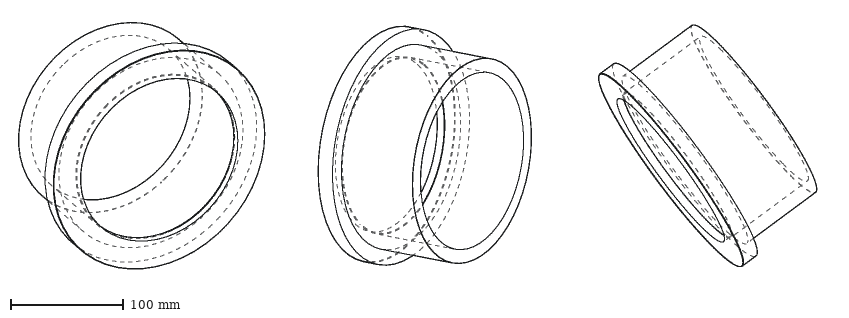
import cadquery as cq

length = 93.0
flange_thickness = 16.0
flange_diameter = 213.0
rim_diameter = 212.0
sleeve_diameter = 185.0
sleeve_chamfer = 0.2
bore_diameter = 160.0
lip_diameter = 158.0
lip_thickness = 7.7

sleeve_end = -length / 2
flange_end = length / 2
flange_start = flange_end - flange_thickness
lip_start = flange_end - lip_thickness
rim_chamfer = (flange_diameter - rim_diameter) / 2


def cylinder(diameter, start, end):
    """Solid cylinder along X between two stations."""
    return cq.Workplane("YZ", origin=(start, 0, 0)).circle(diameter / 2).extrude(end - start)


flange = cylinder(flange_diameter, flange_start, flange_end)
flange = flange.faces(">X").edges().chamfer(rim_chamfer)

sleeve = cylinder(sleeve_diameter, sleeve_end, flange_end)
sleeve = sleeve.faces("<X").edges().chamfer(sleeve_chamfer)

bore = cylinder(bore_diameter, sleeve_end, lip_start)
lip_opening = cylinder(lip_diameter, lip_start, flange_end)

result = flange.union(sleeve).cut(bore).cut(lip_opening)